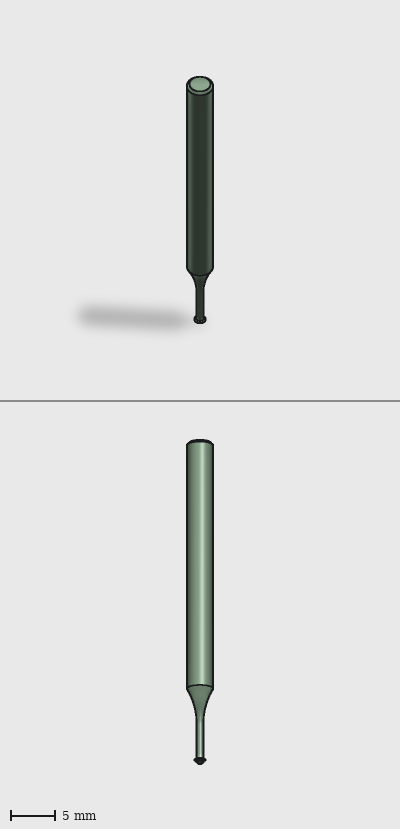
import cadquery as cq
import math

total_length = 38.0
shank_bottom = 8.9
neck_top = 4.8
neck_bottom = 1.03
flare_bottom = 0.6
rim_height = 0.45
collar_top = 0.35
collar_bottom = 0.23

shank_radius = 1.5
neck_radius = 0.4
flare_radius = 0.437
rim_radius = 0.65
collar_radius = 0.4
tip_radius = 0.2

end_chamfer = 0.3


def concave_midpoint(neck_end_height, outer_radius, outer_height):
    """Middle of an arc that leaves the neck tangentially and widens to outer_radius."""
    rise = outer_radius - neck_radius
    run = outer_height - neck_end_height
    arc_radius = (rise**2 + run**2) / (2 * rise)
    half_angle = math.asin(abs(run) / arc_radius) / 2
    radius = neck_radius + arc_radius * (1 - math.cos(half_angle))
    height = neck_end_height + math.copysign(arc_radius * math.sin(half_angle), run)
    return (radius, height)


profile = (
    cq.Workplane("XZ")
    .moveTo(0, 0)
    .lineTo(tip_radius, 0)
    .lineTo(collar_radius, collar_bottom)
    .lineTo(collar_radius, collar_top)
    .lineTo(rim_radius, rim_height)
    .lineTo(flare_radius, flare_bottom)
    .threePointArc(
        concave_midpoint(neck_bottom, flare_radius, flare_bottom),
        (neck_radius, neck_bottom),
    )
    .lineTo(neck_radius, neck_top)
    .threePointArc(
        concave_midpoint(neck_top, shank_radius, shank_bottom),
        (shank_radius, shank_bottom),
    )
    .lineTo(shank_radius, total_length - end_chamfer)
    .lineTo(shank_radius - end_chamfer, total_length)
    .lineTo(0, total_length)
    .close()
)

result = profile.revolve(360, (0, 0, 0), (0, 1, 0))